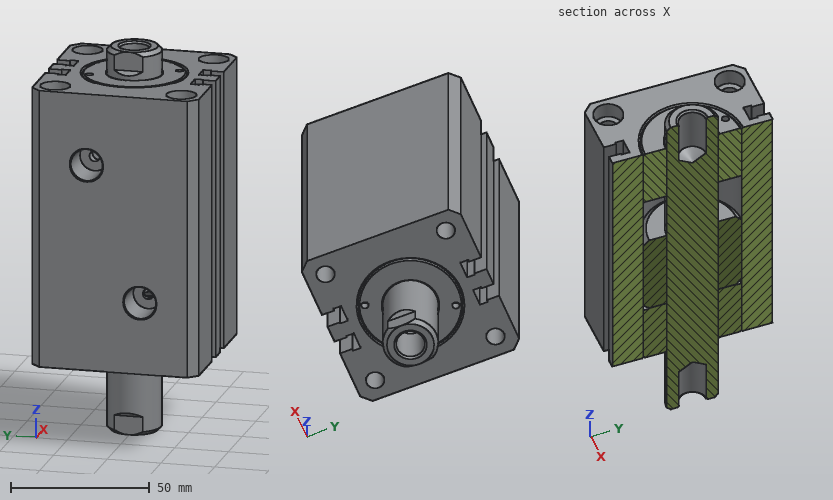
import cadquery as cq
import math


TOTAL_LENGTH = 144.0

HOUSING_SIDE = 62.0
HOUSING_LENGTH = 104.0
HOUSING_CHAMFER = 3.5
BORE_DIAMETER = 37.9
EDGE_CHAMFER = 0.6

MOUNT_PITCH = 47.0
MOUNT_DIAMETER = 6.6
COUNTERBORE_DIAMETER = 11.0
COUNTERBORE_DEPTH = 6.5

SLOT_MOUTH_OFFSET = 5.9
SLOT_MOUTH_WIDTH = 5.2
SLOT_MOUTH_DEPTH = 4.8
SLOT_FOOT_OFFSET = 6.0
SLOT_FOOT_WIDTH = 6.5
SLOT_DEPTH = 7.8

PORT_OFFSET = 10.0
PORT_END_DISTANCE = 26.8
PORT_MOUTH_DIAMETER = 12.5
PORT_CHAMFER = 0.36
PORT_FLOOR_DIAMETER = 11.0
PORT_DEPTH = 12.0
ORIFICE_DIAMETER = 3.9

ROD_DIAMETER = 20.0
ROD_TOP_PROTRUSION = 10.1
FLATS_WIDTH = 17.0
ROD_END_CHAMFER = (ROD_DIAMETER - FLATS_WIDTH) / 2
FLATS_LENGTH = 7.0
TAP_DIAMETER = 10.4
TAP_MOUTH_DIAMETER = 11.8
TAP_DEPTH = 18.0
DRILL_POINT_ANGLE = 118.0

PISTON_CHAMFER = 2.2

COVER_ROD_HOLE_CHAMFER = 0.5
SPANNER_HOLE_DIAMETER = 2.6
SPANNER_HOLE_DEPTH = 4.0
SPANNER_CIRCLE_RADIUS = 16.4
SPANNER_ANGLE = 112.5

ROD_BOTTOM_PROTRUSION = TOTAL_LENGTH - HOUSING_LENGTH - ROD_TOP_PROTRUSION
STROKE = ROD_BOTTOM_PROTRUSION - ROD_TOP_PROTRUSION
COVER_LENGTH = PORT_END_DISTANCE - PISTON_CHAMFER
PISTON_LENGTH = HOUSING_LENGTH - 2 * COVER_LENGTH - STROKE


def cylinder(diameter, length, bottom=0.0):
    """Cylinder on the Z axis that rises from the given height."""
    return cq.Workplane("XY").workplane(offset=bottom).circle(diameter / 2).extrude(length)


def drilled_hole(diameter, depth):
    """Cutter that goes down from Z = 0 and ends in a conical drill point."""
    radius = diameter / 2
    point_depth = radius / math.tan(math.radians(DRILL_POINT_ANGLE / 2))
    profile = [(0, 0), (radius, 0), (radius, -depth), (0, -depth - point_depth)]
    return cq.Workplane("XZ").polyline(profile).close().revolve(360, (0, 0, 0), (0, 1, 0))


def mouth_chamfer(hole_diameter, size):
    """Cone cutter that bevels the upper mouth of a hole at Z = 0."""
    radius = hole_diameter / 2
    profile = [(0, 0), (radius + size, 0), (radius, -size), (0, -size)]
    return cq.Workplane("XZ").polyline(profile).close().revolve(360, (0, 0, 0), (0, 1, 0))


def flip(shape, length):
    """Swap the two ends of a shape that spans Z = 0 to Z = length."""
    return shape.mirror("XY").translate((0, 0, length))


def slot_cutter(side_x, side_y):
    """T-shaped sensor slot along the full housing, open at the +Y or -Y side."""
    cutter = cq.Workplane("XY")
    steps = [
        (SLOT_MOUTH_OFFSET, SLOT_MOUTH_WIDTH, 0.0, SLOT_MOUTH_DEPTH),
        (SLOT_FOOT_OFFSET, SLOT_FOOT_WIDTH, SLOT_MOUTH_DEPTH, SLOT_DEPTH),
    ]
    for offset, width, start, end in steps:
        middle_y = HOUSING_SIDE / 2 - (start + end) / 2
        step = cq.Workplane("XY").center(side_x * offset, side_y * middle_y)
        cutter = cutter.add(step.rect(width, end - start).extrude(HOUSING_LENGTH))
    return cutter.combine()


def port_cutter():
    """Bevelled, tapered port and its orifice, drilled down from Z = 0 into the bore."""
    mouth_radius = PORT_MOUTH_DIAMETER / 2
    profile = [
        (0, 0),
        (mouth_radius, 0),
        (mouth_radius - PORT_CHAMFER, -PORT_CHAMFER),
        (PORT_FLOOR_DIAMETER / 2, -PORT_DEPTH),
        (0, -PORT_DEPTH),
    ]
    port = cq.Workplane("XZ").polyline(profile).close().revolve(360, (0, 0, 0), (0, 1, 0))
    orifice_depth = HOUSING_SIDE / 2 - ROD_DIAMETER / 2
    return port.union(cylinder(ORIFICE_DIAMETER, orifice_depth, -orifice_depth))


def make_housing():
    body = cq.Workplane("XY").rect(HOUSING_SIDE, HOUSING_SIDE).extrude(HOUSING_LENGTH)
    body = body.edges("|Z").chamfer(HOUSING_CHAMFER)

    bore_mouth = mouth_chamfer(BORE_DIAMETER, EDGE_CHAMFER).translate((0, 0, HOUSING_LENGTH))
    body = body.cut(cylinder(BORE_DIAMETER, HOUSING_LENGTH))
    body = body.cut(bore_mouth).cut(flip(bore_mouth, HOUSING_LENGTH))

    body = (
        body.faces(">Z").workplane(origin=(0, 0, HOUSING_LENGTH))
        .rect(MOUNT_PITCH, MOUNT_PITCH, forConstruction=True).vertices()
        .cboreHole(MOUNT_DIAMETER, COUNTERBORE_DIAMETER, COUNTERBORE_DEPTH)
    )

    for side_x in (-1, 1):
        for side_y in (-1, 1):
            body = body.cut(slot_cutter(side_x, side_y))

    port = port_cutter().rotate((0, 0, 0), (0, 1, 0), -90)
    upper_port_height = HOUSING_LENGTH - PORT_END_DISTANCE
    for y, z in [(-PORT_OFFSET, PORT_END_DISTANCE), (PORT_OFFSET, upper_port_height)]:
        body = body.cut(port.translate((-HOUSING_SIDE / 2, y, z)))
    return body


def make_cover():
    """Rod guide that closes the upper end of the bore."""
    cover = cylinder(BORE_DIAMETER, COVER_LENGTH, HOUSING_LENGTH - COVER_LENGTH)
    cover = cover.faces(">Z").edges().chamfer(EDGE_CHAMFER)
    cover = cover.cut(cylinder(ROD_DIAMETER, HOUSING_LENGTH))
    rod_hole_mouth = mouth_chamfer(ROD_DIAMETER, COVER_ROD_HOLE_CHAMFER)
    cover = cover.cut(rod_hole_mouth.translate((0, 0, HOUSING_LENGTH)))

    for angle in (SPANNER_ANGLE, SPANNER_ANGLE + 180):
        x = SPANNER_CIRCLE_RADIUS * math.cos(math.radians(angle))
        y = SPANNER_CIRCLE_RADIUS * math.sin(math.radians(angle))
        hole = drilled_hole(SPANNER_HOLE_DIAMETER, SPANNER_HOLE_DEPTH)
        cover = cover.cut(hole.translate((x, y, HOUSING_LENGTH)))
    return cover


def rod_end_cutter():
    """Wrench flats and tapped hole of a rod end whose face is at Z = 0."""
    flat_x = FLATS_WIDTH / 2
    rim_x = ROD_DIAMETER / 2
    ramp = rim_x - flat_x
    outer_x = rim_x + ramp
    flat_profile = [
        (flat_x, 0),
        (flat_x, -FLATS_LENGTH),
        (outer_x, -FLATS_LENGTH - 2 * ramp),
        (outer_x, 0),
    ]
    flat = cq.Workplane("XZ").polyline(flat_profile).close().extrude(rim_x, both=True)
    tap = drilled_hole(TAP_DIAMETER, TAP_DEPTH)
    tap_mouth = mouth_chamfer(TAP_DIAMETER, (TAP_MOUTH_DIAMETER - TAP_DIAMETER) / 2)
    return flat.union(flat.mirror("YZ")).union(tap).union(tap_mouth)


def make_rod():
    rod = cylinder(ROD_DIAMETER, TOTAL_LENGTH)
    rod = rod.faces("<Z or >Z").edges().chamfer(ROD_END_CHAMFER)
    end_cutter = rod_end_cutter().translate((0, 0, TOTAL_LENGTH))
    rod = rod.cut(end_cutter).cut(flip(end_cutter, TOTAL_LENGTH))
    return rod.translate((0, 0, -ROD_BOTTOM_PROTRUSION))


def make_piston():
    """Piston around the rod, resting on the lower cover."""
    piston = cylinder(BORE_DIAMETER, PISTON_LENGTH, COVER_LENGTH)
    piston = piston.faces("<Z or >Z").edges().chamfer(PISTON_CHAMFER)
    return piston.cut(cylinder(ROD_DIAMETER, HOUSING_LENGTH))


housing = make_housing()
rod = make_rod()
piston = make_piston()
upper_cover = make_cover()
covers = [upper_cover, flip(upper_cover, HOUSING_LENGTH)]

result = cq.Compound.makeCompound(
    [housing.val(), rod.val(), piston.val(), *[cover.val() for cover in covers]]
)